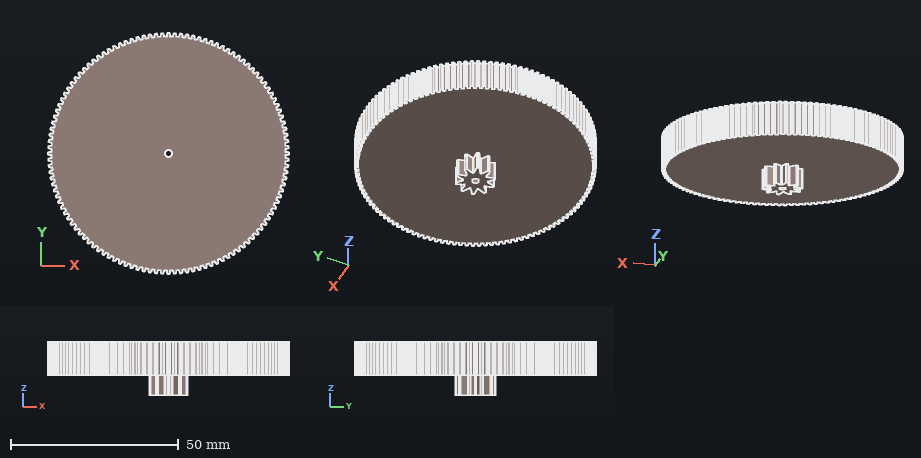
import cadquery as cq
import math

bore_diameter = 2.0

wheel_teeth = 120
wheel_diameter = 72.0
wheel_height = 10.0
wheel_tooth_height = 1.0
wheel_tip_width = 0.5
wheel_tip_taper = 0.5
wheel_tooth_width = 1.0
wheel_first_tooth = 0

pinion_teeth = 10
pinion_diameter = 12.0
pinion_height = 6.0
pinion_tooth_height = 2.3
pinion_tip_width = 0.6
pinion_shoulder_width = 0.9
pinion_shoulder_depth = 0.2
pinion_root_width = 1.95
pinion_first_tooth = math.pi / 2


def tooth_point(radius, offset, angle):
    """Point on the circle of this radius, offset sideways from the tooth axis at this angle."""
    turned = angle + math.asin(offset / radius)
    return (radius * math.cos(turned), radius * math.sin(turned))


def gear_outline(teeth, diameter, profile, first_tooth):
    """Closed gear outline. The profile lists (depth below tip circle, tooth width) from root to tip."""
    near_flank = [(diameter / 2 - depth, -width / 2) for depth, width in profile]
    far_flank = [(radius, -offset) for radius, offset in reversed(near_flank)]
    points = []
    for tooth in range(teeth):
        angle = first_tooth + tooth * 2 * math.pi / teeth
        for radius, offset in near_flank + far_flank:
            points.append(tooth_point(radius, offset, angle))
    return cq.Workplane("XY").polyline(points).close()


def bored_gear(outline, height):
    """Gear body from Z = 0 to the signed height, with the bore running through it."""
    bore = cq.Workplane("XY").circle(bore_diameter / 2).extrude(height)
    return outline.extrude(height).cut(bore)


def make_wheel():
    profile = [
        (wheel_tooth_height, wheel_tooth_width),
        (wheel_tip_taper, wheel_tooth_width),
        (0, wheel_tip_width),
    ]
    outline = gear_outline(wheel_teeth, wheel_diameter, profile, wheel_first_tooth)
    return bored_gear(outline, wheel_height)


def make_pinion():
    profile = [
        (pinion_tooth_height, pinion_root_width),
        (pinion_shoulder_depth, pinion_shoulder_width),
        (0, pinion_tip_width),
    ]
    outline = gear_outline(pinion_teeth, pinion_diameter, profile, pinion_first_tooth)
    return bored_gear(outline, -pinion_height)


wheel = make_wheel()
pinion = make_pinion()
result = cq.Compound.makeCompound([wheel.solids().val(), pinion.solids().val()])